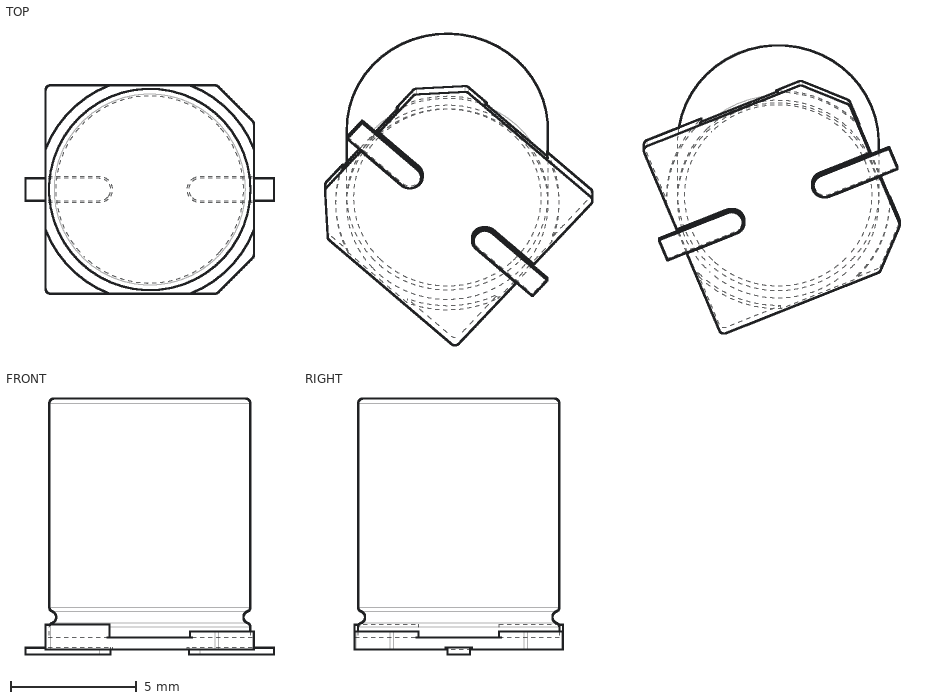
import cadquery as cq
import math

TOTAL_HEIGHT = 10.2

LEAD_SPAN = 9.9
LEAD_WIDTH = 0.9
LEAD_THICKNESS = 0.28
LEAD_GAP = 3.11

BASE_SIZE = 8.3
BASE_BOTTOM = 0.2
LOW_CORNER_TOP = 0.93
HIGH_CORNER_TOP = 1.19
CORNER_CHAMFER = 1.48
CORNER_RADIUS = 0.2
SEAT_RADIUS = 4.45
SEAT_FLOOR = 0.67
SLOT_CLEARANCE = 0.07

CAN_RADIUS = 4.01
CAN_TOP_FILLET = 0.2
GROOVE_CENTER_Z = 1.49
GROOVE_DEPTH = 0.28
GROOVE_RADIUS = 0.24
GROOVE_LIP_RADIUS = 0.17


def lead_outline(side, clearance, outer_end):
    """Strip that ends in a half circle at its inner end; side is -1 or +1 along X."""
    half_width = LEAD_WIDTH / 2 + clearance
    round_center = LEAD_GAP / 2 + LEAD_WIDTH / 2
    inner_end = round_center - half_width
    return (
        cq.Workplane("XY")
        .moveTo(side * outer_end, -half_width)
        .lineTo(side * round_center, -half_width)
        .threePointArc((side * inner_end, 0), (side * round_center, half_width))
        .lineTo(side * outer_end, half_width)
        .close()
    )


def make_lead(side):
    return lead_outline(side, 0, LEAD_SPAN / 2).extrude(LEAD_THICKNESS)


def make_base():
    half = BASE_SIZE / 2
    chamfer_start = half - CORNER_CHAMFER
    outline = [
        (-half, -half),
        (chamfer_start, -half),
        (half, -chamfer_start),
        (half, chamfer_start),
        (chamfer_start, half),
        (-half, half),
    ]
    base = (
        cq.Workplane("XY", origin=(0, 0, BASE_BOTTOM))
        .polyline(outline)
        .close()
        .extrude(HIGH_CORNER_TOP - BASE_BOTTOM)
        .edges("|Z")
        .fillet(CORNER_RADIUS)
    )
    step = (
        cq.Workplane("XY", origin=(0, 0, LOW_CORNER_TOP))
        .rect(BASE_SIZE, BASE_SIZE)
        .extrude(TOTAL_HEIGHT)
        .translate((half, 0, 0))
    )
    seat = cq.Workplane("XY", origin=(0, 0, SEAT_FLOOR)).circle(SEAT_RADIUS).extrude(TOTAL_HEIGHT)
    base = base.cut(step).cut(seat)
    for side in (-1, 1):
        base = base.cut(lead_outline(side, SLOT_CLEARANCE, BASE_SIZE).extrude(LEAD_THICKNESS))
    return base


def make_can():
    """Revolved can with a crimp groove whose arcs run smoothly into each other."""
    turn = math.acos(1 - GROOVE_DEPTH / (GROOVE_RADIUS + GROOVE_LIP_RADIUS))
    groove_half = GROOVE_RADIUS * math.sin(turn)
    lip_height = GROOVE_LIP_RADIUS * math.sin(turn)
    blend_radius = CAN_RADIUS - GROOVE_LIP_RADIUS * (1 - math.cos(turn))
    lip_mid_radius = CAN_RADIUS - GROOVE_LIP_RADIUS * (1 - math.cos(turn / 2))
    lip_offset = groove_half + lip_height
    lip_mid_offset = lip_offset - GROOVE_LIP_RADIUS * math.sin(turn / 2)

    profile = (
        cq.Workplane("XZ")
        .moveTo(0, SEAT_FLOOR)
        .lineTo(CAN_RADIUS, SEAT_FLOOR)
        .lineTo(CAN_RADIUS, GROOVE_CENTER_Z - lip_offset)
        .threePointArc(
            (lip_mid_radius, GROOVE_CENTER_Z - lip_mid_offset),
            (blend_radius, GROOVE_CENTER_Z - groove_half),
        )
        .threePointArc(
            (CAN_RADIUS - GROOVE_DEPTH, GROOVE_CENTER_Z),
            (blend_radius, GROOVE_CENTER_Z + groove_half),
        )
        .threePointArc(
            (lip_mid_radius, GROOVE_CENTER_Z + lip_mid_offset),
            (CAN_RADIUS, GROOVE_CENTER_Z + lip_offset),
        )
        .lineTo(CAN_RADIUS, TOTAL_HEIGHT)
        .lineTo(0, TOTAL_HEIGHT)
        .close()
    )
    can = profile.revolve(360, (0, 0, 0), (0, 1, 0))
    return can.faces(">Z").edges().fillet(CAN_TOP_FILLET)


base = make_base()
can = make_can()
leads = [make_lead(side) for side in (-1, 1)]

result = cq.Compound.makeCompound([base.val(), can.val(), *[lead.val() for lead in leads]])